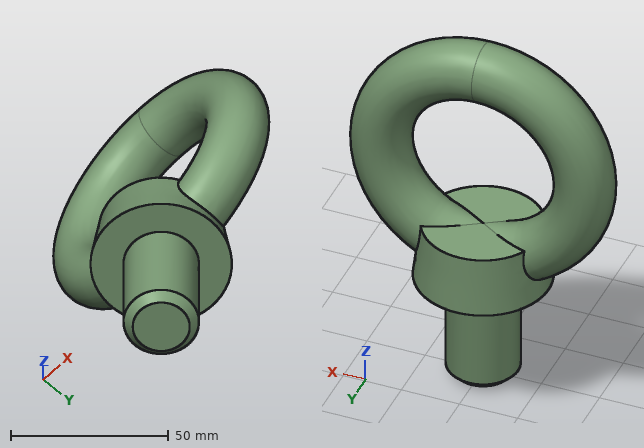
import cadquery as cq

total_height = 128.0
ring_outer_diameter = 90.0
bar_diameter = 20.0
collar_bottom_diameter = 45.0
collar_top_diameter = 39.9
shank_diameter = 24.0
shank_chamfer = 3.0

shank_length = total_height - ring_outer_diameter
collar_height = bar_diameter
ring_center_height = shank_length + ring_outer_diameter / 2
ring_path_radius = (ring_outer_diameter - bar_diameter) / 2


def make_shank():
    """Plain cylindrical shank with a chamfered tip, starting at Z = 0."""
    shank = cq.Workplane("XY").circle(shank_diameter / 2).extrude(shank_length)
    return shank.faces("<Z").chamfer(shank_chamfer)


def make_collar():
    """Collar tapering from its wide base to its flat top."""
    return (
        cq.Workplane("XY")
        .workplane(offset=shank_length)
        .circle(collar_bottom_diameter / 2)
        .workplane(offset=collar_height)
        .circle(collar_top_diameter / 2)
        .loft(ruled=True)
    )


def make_ring():
    """Upright ring of round bar, with its axis along Y."""
    ring = cq.Solid.makeTorus(
        ring_path_radius,
        bar_diameter / 2,
        cq.Vector(0, 0, ring_center_height),
        cq.Vector(0, 1, 0),
    )
    return cq.Workplane("XY").add(ring)


result = make_collar().union(make_ring()).union(make_shank())